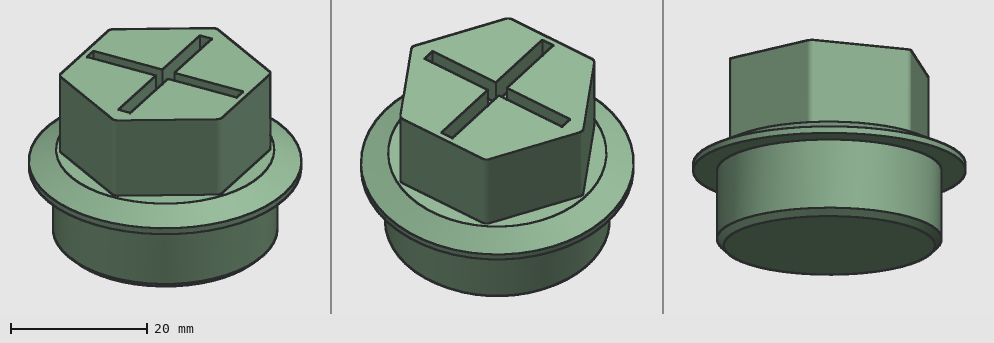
import cadquery as cq
import math

plug_diameter = 33.0
plug_height = 11.4
plug_chamfer = 1.0

flange_diameter = 40.0
flange_top_diameter = 32.0
rim_height = 1.0
cone_height = 1.9

total_height = 27.0
hex_across_flats = 27.0
hex_corner_radius = 1.0

slot_length = 25.0
slot_width = 2.0
slot_depth = 4.0

rim_top = plug_height + rim_height
flange_top = rim_top + cone_height


def make_plug():
    plug = cq.Workplane("XY").circle(plug_diameter / 2).extrude(plug_height)
    return plug.faces("<Z").chamfer(plug_chamfer)


def make_flange():
    profile = [
        (0, plug_height),
        (flange_diameter / 2, plug_height),
        (flange_diameter / 2, rim_top),
        (flange_top_diameter / 2, flange_top),
        (0, flange_top),
    ]
    return cq.Workplane("XZ").polyline(profile).close().revolve(360, (0, 0), (0, 1))


def make_head():
    across_corners = hex_across_flats / math.cos(math.pi / 6)
    head = (
        cq.Workplane("XY", origin=(0, 0, flange_top))
        .transformed(rotate=(0, 0, 90))
        .polygon(6, across_corners)
        .extrude(total_height - flange_top)
    )
    return head.edges("|Z").fillet(hex_corner_radius)


def make_cross():
    floor = cq.Workplane("XY", origin=(0, 0, total_height - slot_depth))
    along_x = floor.rect(slot_length, slot_width).extrude(slot_depth)
    along_y = floor.rect(slot_width, slot_length).extrude(slot_depth)
    return along_x.union(along_y)


result = make_plug().union(make_flange()).union(make_head()).cut(make_cross())